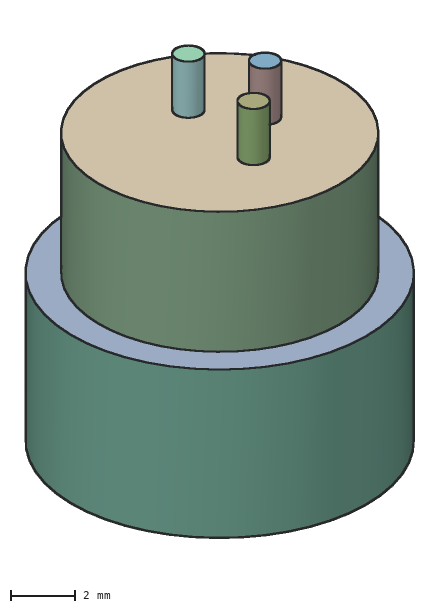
import cadquery as cq

total_height = 13.0
base_diameter = 12.0
base_height = 6.0
body_diameter = 9.8
body_height = 4.99
pin_diameter = 1.0

left_pin_offset = 1.7
right_pin_offset = 1.85
back_pin_offset = 1.7
pin_centers = [
    (-left_pin_offset, 0),
    (right_pin_offset, 0),
    (0, back_pin_offset),
]

body_top = base_height + body_height
pin_height = total_height - body_top

base = cq.Workplane("XY").circle(base_diameter / 2).extrude(base_height)
body = (
    cq.Workplane("XY")
    .workplane(offset=base_height)
    .circle(body_diameter / 2)
    .extrude(body_height)
)

pins = (
    cq.Workplane("XY")
    .workplane(offset=body_top)
    .pushPoints(pin_centers)
    .circle(pin_diameter / 2)
    .extrude(pin_height)
)

result = base.union(body).union(pins)